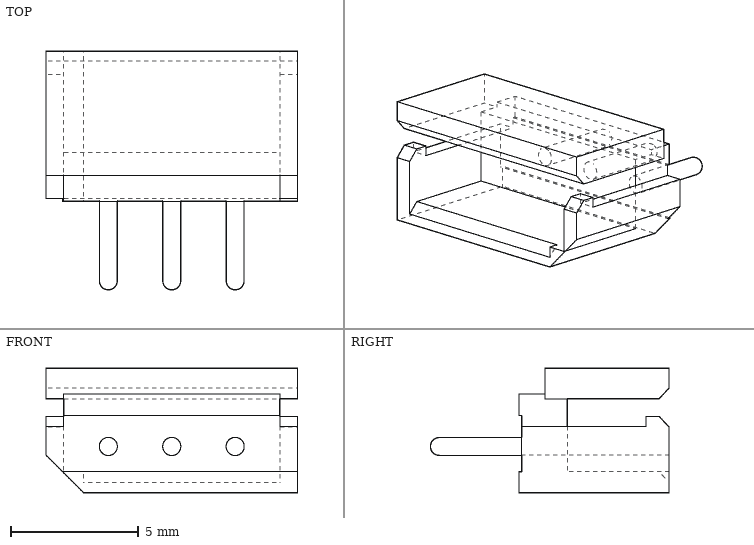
import cadquery as cq

width = 9.9
height = 4.9
depth = 5.91
front_recess = 0.11
wall_y = front_recess - depth

cover_bottom = 3.69
cover_depth = 4.89
lead_in = 0.4
lead_in_height = 0.43

rail_width = 0.69
rail_top = 2.61
lip_top = 3.01
lip_depth = 0.92

floor_top = 0.83
block_back = -4.0
block_top = 3.89
upper_rib_bottom = 3.03

corner_cut = 1.485

pin_count = 3
pin_pitch = 2.49
pin_diameter = 0.71
pin_radius = pin_diameter / 2
pin_z = 1.82
pin_tip_y = -9.4

inner_width = width - 2 * rail_width


def extrude_profile(points, left, length):
    """Extrude a closed (Y, Z) outline along +X from X = left."""
    return cq.Workplane("YZ").workplane(offset=left).polyline(points).close().extrude(length)


def make_cover():
    outline = [
        (-cover_depth, cover_bottom),
        (-lead_in, cover_bottom),
        (0, cover_bottom + lead_in_height),
        (0, height),
        (-cover_depth, height),
    ]
    return extrude_profile(outline, -width / 2, width)


def make_rail(left):
    outline = [
        (-depth, 0),
        (0, 0),
        (0, lip_top - lead_in_height),
        (-lead_in, lip_top),
        (-lip_depth, lip_top),
        (-lip_depth, rail_top),
        (wall_y, rail_top),
        (wall_y, floor_top),
        (-depth, floor_top),
    ]
    return extrude_profile(outline, left, rail_width)


def make_center():
    """Floor and rear block, with the front face recessed between two ribs."""
    outline = [
        (-depth, 0),
        (0, 0),
        (0, floor_top),
        (block_back, floor_top),
        (block_back, block_top),
        (-depth, block_top),
        (-depth, upper_rib_bottom),
        (wall_y, upper_rib_bottom),
        (wall_y, floor_top),
        (-depth, floor_top),
    ]
    return extrude_profile(outline, -inner_width / 2, inner_width)


def make_floor_lead_in_cutter():
    """Wedge along the floor's mating edge; it stops short of the corner cut to keep that wall closed."""
    outline = [
        (-lead_in, floor_top),
        (0, floor_top),
        (0, floor_top - lead_in_height),
    ]
    left = corner_cut - width / 2
    return extrude_profile(outline, left, inner_width / 2 - left)


def make_corner_cutter():
    left = -width / 2
    return (
        cq.Workplane("XZ")
        .polyline([(left, 0), (left + corner_cut, 0), (left, corner_cut)])
        .close()
        .extrude(depth)
    )


def make_pin(x):
    """Round pin with a hemispherical tip, rooted in the rear block."""
    straight_length = block_back - pin_tip_y - pin_radius
    shank = cq.Workplane("XZ", origin=(x, block_back, pin_z)).circle(pin_radius).extrude(straight_length)
    tip = cq.Workplane("XY").sphere(pin_radius).translate((x, pin_tip_y + pin_radius, pin_z))
    return shank.union(tip)


result = make_center().cut(make_floor_lead_in_cutter()).union(make_cover())
for rail_left in (-width / 2, width / 2 - rail_width):
    result = result.union(make_rail(rail_left))
result = result.cut(make_corner_cutter())

for index in range(pin_count):
    pin_x = (index - (pin_count - 1) / 2) * pin_pitch
    result = result.union(make_pin(pin_x))